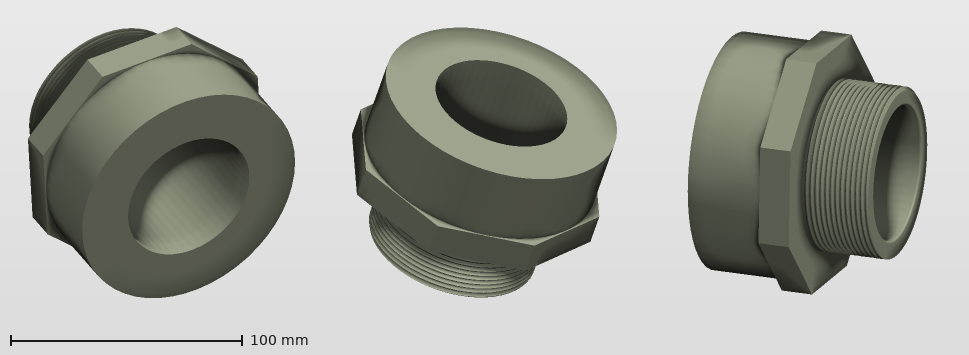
import cadquery as cq
import math


thread_length = 30.3
collar_width = 13.9
barrel_length = 33.1
collar_end = thread_length + collar_width
overall_length = collar_end + barrel_length

bore_diameter = 59.18
bore_lip_radius = 1.0
spigot_diameter = 72.17
barrel_diameter = 103.88

collar_sides = 8
collar_across_flats = 104.92
collar_turn = 3.0

thread_pitch = 25.4 / 11
thread_diameter = 75.184
thread_flank_angle = 55.0
thread_crest_width = 0.35
thread_phase = 0.6
spare_turns = 2

spigot_radius = spigot_diameter / 2
thread_radius = thread_diameter / 2
thread_depth = thread_radius - spigot_radius
flank_run = thread_depth * math.tan(math.radians(thread_flank_angle / 2))
thread_root_width = thread_crest_width + 2 * flank_run


def cylinder_along_x(diameter, start, length):
    return cq.Workplane("YZ", origin=(start, 0, 0)).circle(diameter / 2).extrude(length)


def make_collar():
    across_corners = collar_across_flats / math.cos(math.pi / collar_sides)
    flats_square = 180 / collar_sides
    return (
        cq.Workplane("YZ", origin=(thread_length, 0, 0))
        .transformed(rotate=(0, 0, flats_square + collar_turn))
        .polygon(collar_sides, across_corners)
        .extrude(collar_width)
    )


def make_fitting():
    """Spigot, collar and barrel in one piece, with a plain bore and a rounded lip at the spigot mouth."""
    spigot = cylinder_along_x(spigot_diameter, 0, thread_length)
    barrel = cylinder_along_x(barrel_diameter, collar_end, barrel_length)
    bore = cylinder_along_x(bore_diameter, 0, overall_length)
    fitting = spigot.union(make_collar()).union(barrel).cut(bore)
    mouth = cq.selectors.RadiusNthSelector(0)
    return fitting.faces("<X").edges(mouth).fillet(bore_lip_radius)


def helix(radius, start, turns):
    wire = cq.Wire.makeHelix(thread_pitch, turns * thread_pitch, radius)
    return wire.translate(cq.Vector(0, 0, start))


def make_thread():
    """Right-handed helical ridge wound on the spigot, trimmed flush with its end and with the collar."""
    turns = math.ceil(thread_length / thread_pitch) + 2 * spare_turns

    corners = [
        (spigot_radius, -thread_root_width / 2),
        (thread_radius, -thread_crest_width / 2),
        (thread_radius, thread_crest_width / 2),
        (spigot_radius, thread_root_width / 2),
    ]
    helices = [helix(radius, start, turns) for radius, start in corners]
    sides = [
        cq.Face.makeRuledSurface(edge, next_edge)
        for edge, next_edge in zip(helices, helices[1:] + helices[:1])
    ]

    def end_cap(shift):
        points = [cq.Vector(radius, 0, start + shift) for radius, start in corners]
        return cq.Face.makeFromWires(cq.Wire.makePolygon(points, close=True))

    caps = [end_cap(0), end_cap(turns * thread_pitch)]
    ridge = cq.Solid.makeSolid(cq.Shell.makeShell(sides + caps))

    ridge = ridge.rotate(cq.Vector(0, 0, 0), cq.Vector(1, 1, 1), 120)
    ridge = ridge.translate(cq.Vector(thread_phase - spare_turns * thread_pitch, 0, 0))
    trim = cylinder_along_x(2 * thread_diameter, 0, thread_length)
    return trim.intersect(cq.Workplane(ridge))


fitting = make_fitting()
thread = make_thread()

result = cq.Compound.makeCompound([fitting.solids().val(), thread.solids().val()])